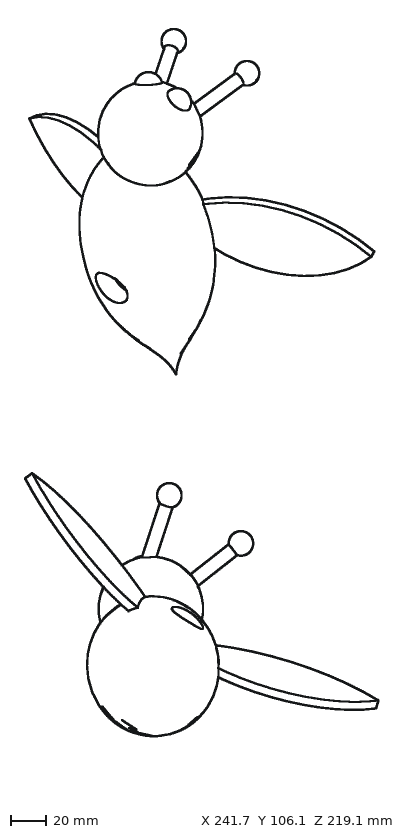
import cadquery as cq


HEAD_RADIUS = 30.0
EYE_RADIUS = 8.0
EYE_CENTRES = [(-10.0, 10.2, 23.2), (11.4, 10.3, 22.6)]
ANTENNA_RADIUS = 4.0
KNOB_RADIUS = 7.1
ANTENNAE = [
    ((-11.3, 16.7, 8.0), (-28.1, 54.1, 18.8)),
    ((13.3, 16.2, 8.2), (22.2, 59.3, 18.7)),
]

STING_TIP = (4.6, 17.45, -187.9)
ABDOMEN_LENGTH = 185.0
ABDOMEN_STATIONS = [
    (15.0, 5.0),
    (35.0, 15.8),
    (60.0, 28.6),
    (85.0, 35.8),
    (110.0, 37.7),
    (135.0, 35.0),
    (160.0, 25.1),
]
ABDOMEN_LEAN_FORWARD = 9.6
ABDOMEN_LEAN_LEFT = 3.45
ABDOMEN_SEAM_ANGLE = 225.0

HOLE_RADIUS = 10.6
HOLE_FRONT = (1.5, -45.0, -92.2)
HOLE_BACK = (-3.6, 45.0, -84.8)
RECESS_RADIUS = 11.1
RECESS_FRONT = (0.9, -45.0, -91.4)
RECESS_FLOOR = (0.9, -22.0, -91.4)

WING_LENGTH = 120.0
WING_RISE = 20.0
WING_DROP = 28.0
WING_THICKNESS = 5.2
WING_PLACES = [
    ((-67.4, 25.5, -76.4), -5.5, -15.0),
    ((60.7, 35.8, -65.5), 0.5, 21.3),
]


def ball(radius, centre):
    return cq.Workplane("XY").sphere(radius).translate(centre)


def rod(radius, start, end):
    axis = cq.Vector(*end) - cq.Vector(*start)
    return cq.Workplane(cq.Solid.makeCylinder(radius, axis.Length, cq.Vector(*start), axis))


def make_head():
    shape = ball(HEAD_RADIUS, (0, 0, 0))
    for centre in EYE_CENTRES:
        shape = shape.union(ball(EYE_RADIUS, centre))
    for root, knob_centre in ANTENNAE:
        shape = shape.union(rod(ANTENNA_RADIUS, root, knob_centre))
        shape = shape.union(ball(KNOB_RADIUS, knob_centre))
    return shape


def make_wing(chord_middle, roll, turn):
    half = WING_LENGTH / 2
    return (
        cq.Workplane("XZ")
        .moveTo(-half, 0)
        .threePointArc((0, WING_RISE), (half, 0))
        .threePointArc((0, -WING_DROP), (-half, 0))
        .close()
        .extrude(-WING_THICKNESS)
        .rotate((0, 0, 0), (0, 1, 0), roll)
        .rotate((0, 0, 0), (0, 0, 1), turn)
        .translate(chord_middle)
    )


def make_abdomen_blank():
    profile = [(radius, height) for height, radius in ABDOMEN_STATIONS] + [(0, ABDOMEN_LENGTH)]
    return (
        cq.Workplane("XZ")
        .moveTo(0, 0)
        .spline(profile, includeCurrent=True)
        .close()
        .revolve(360, (0, 0, 0), (0, 1, 0))
        .rotate((0, 0, 0), (0, 0, 1), ABDOMEN_SEAM_ANGLE)
        .rotate((0, 0, 0), (1, 0, 0), ABDOMEN_LEAN_FORWARD)
        .rotate((0, 0, 0), (0, 1, 0), -ABDOMEN_LEAN_LEFT)
        .translate(STING_TIP)
    )


head = make_head()
wings = [make_wing(*place) for place in WING_PLACES]

abdomen = make_abdomen_blank()
abdomen = abdomen.cut(rod(HOLE_RADIUS, HOLE_FRONT, HOLE_BACK))
abdomen = abdomen.cut(rod(RECESS_RADIUS, RECESS_FRONT, RECESS_FLOOR))
abdomen = abdomen.cut(ball(HEAD_RADIUS, (0, 0, 0)))
for wing in wings:
    abdomen = abdomen.cut(wing)

result = cq.Compound.makeCompound([head.val(), abdomen.val(), *[wing.val() for wing in wings]])